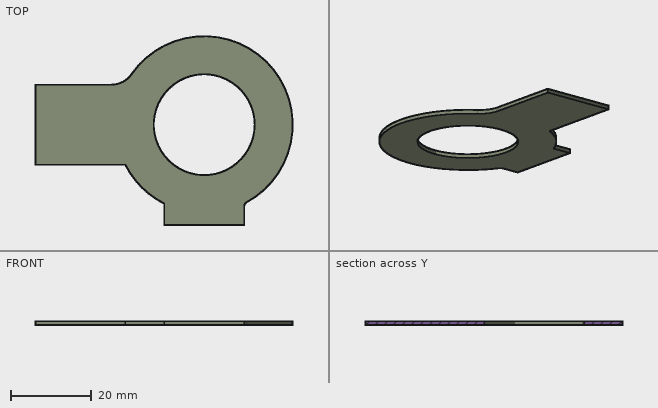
import cadquery as cq

overall_length = 64
overall_width = 46.95
thickness = 1.0
ring_radius = 22.0
bore_diameter = 25.0
tab_width = 19.95
long_tab_reach = overall_length - ring_radius
short_tab_reach = overall_width - ring_radius
long_tab_fillet = 6.0
short_tab_fillet = 1.0

half_tab = tab_width / 2


def tab(reach):
    """Rectangular tab running from the ring centre toward -X."""
    blank = cq.Workplane("XY").box(reach, tab_width, thickness, centered=(False, True, False))
    return blank.translate((-reach, 0, 0))


def fillet_root(body, x, y, radius):
    """Round the vertical edge where a tab side meets the ring."""
    edge = cq.selectors.NearestToPointSelector((x, y, thickness / 2))
    return body.edges("|Z").edges(edge).fillet(radius)


ring = cq.Workplane("XY").circle(ring_radius).extrude(thickness)
long_tab = tab(long_tab_reach)
short_tab = tab(short_tab_reach).rotate((0, 0, 0), (0, 0, 1), 90)
washer = ring.union(long_tab).union(short_tab)

root_distance = (ring_radius**2 - half_tab**2) ** 0.5
washer = fillet_root(washer, -root_distance, half_tab, long_tab_fillet)
washer = fillet_root(washer, half_tab, -root_distance, short_tab_fillet)

bore = cq.Workplane("XY").circle(bore_diameter / 2).extrude(thickness)
result = washer.cut(bore)